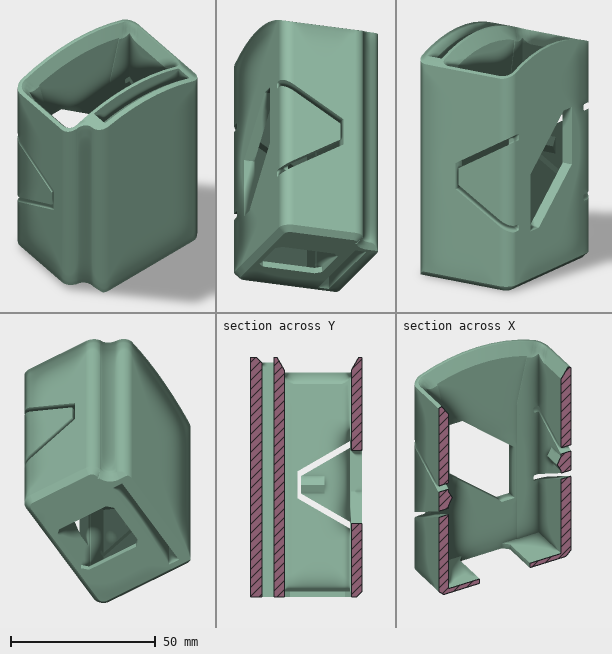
import cadquery as cq
import math

box_width = 30.5
total_width = 38.5
depth = 52.8
height = 82.89
wall = 4.0
corner_radius = 4.0
bottom_chamfer = 2.0
floor_thickness = 2.0
half_depth = depth / 2
box_mid_x = box_width / 2

dome_drop = 5.9
dome_radius = (half_depth**2 + dome_drop**2) / (2 * dome_drop)
dome_axis_z = height - dome_radius

cavity_right = box_width - wall
cavity_half_depth = half_depth - wall
rim_thickness = 1.2
funnel_angle = 30.0
funnel_corner_radius = 3.6
funnel_overlap = 1.5
funnel_slope = math.tan(math.radians(funnel_angle))
funnel_height = (wall - rim_thickness) / funnel_slope

relief_depth = 0.25
relief_half_width = 13.8
relief_flare_z = 57.0
relief_flare_slope = 0.22
relief_top_z = height - funnel_height + 1.0
relief_top_half_width = relief_half_width + (relief_top_z - relief_flare_z) * relief_flare_slope

loop_end_y = -19.4
slot_width = 4.0
slot_bevel = 2.0
slot_end_low_y = loop_end_y + wall
slot_end_high_y = cavity_half_depth

floor_hole_length = 20.0
floor_hole_chamfer = 2.0

window_center_z = 38.1
window_half_width = 13.0
window_half_height = 19.1
window_flat = 5.2
window_side = 20.7

tongue_center_z = 38.75
tongue_tip_x = 21.0
tongue_tip_half_height = 3.0
slit_tip_x = 22.1
slit_tip_half_height = 4.7
slit_angle = 30.0
slit_slope = math.tan(math.radians(slit_angle))
slit_depth = 6.0
slit_end_radius = 0.6

ridge_length = 8.15
ridge_height = 1.6

reach = 10.0


def block(x0, x1, y0, y1, z0, z1):
    return cq.Workplane("XY").box(x1 - x0, y1 - y0, z1 - z0, centered=False).translate((x0, y0, z0))


def rounded_box(x1, y0, y1):
    """Full-height block from x = 0 to x1 with rounded upright edges."""
    return block(0, x1, y0, y1, 0, height).edges("|Z").fillet(corner_radius)


def outer_body():
    """Box with the strap loop, chamfered at the bottom and domed on top."""
    blend_x = box_width + corner_radius
    blend_y = loop_end_y - corner_radius
    blend_mid = corner_radius * math.sqrt(0.5)
    blend = (
        cq.Workplane("XY")
        .moveTo(blend_x, loop_end_y)
        .threePointArc((blend_x - blend_mid, blend_y + blend_mid), (box_width, blend_y))
        .lineTo(box_mid_x, blend_y)
        .lineTo(box_mid_x, loop_end_y)
        .close()
        .extrude(height)
    )
    box = rounded_box(box_width, -half_depth, half_depth)
    long_loop = block(box_mid_x, total_width + reach, loop_end_y, half_depth, 0, height)
    body = box.union(blend).union(long_loop).clean()
    body = body.faces("<Z").edges("not >X").chamfer(bottom_chamfer)

    loop = rounded_box(total_width, loop_end_y, half_depth)
    outline = box.union(blend).union(loop)
    dome = (
        cq.Workplane("YZ")
        .center(0, dome_axis_z)
        .circle(dome_radius)
        .extrude(total_width)
    )
    below_dome = block(0, total_width, -half_depth, half_depth, 0, height - dome_drop - reach)
    return body.intersect(outline).intersect(dome.union(below_dome))


def dome_revolve(points):
    """Revolve (x, distance above the dome) points over the dome, about the dome axis."""
    return (
        cq.Workplane("XZ")
        .polyline([(x, height + rise) for x, rise in points])
        .close()
        .revolve(180, (0, dome_axis_z, 0), (1, dome_axis_z, 0))
        .rotate((0, 0, dome_axis_z), (1, 0, dome_axis_z), -90)
    )


def cavity():
    return block(wall, cavity_right, -cavity_half_depth, cavity_half_depth, floor_thickness, height)


def funnel():
    """Flared mouth: its X sides follow the dome and its Y sides are flat."""
    overlap_spread = funnel_overlap * funnel_slope
    along_x = dome_revolve([
        (wall + overlap_spread, -funnel_height - funnel_overlap),
        (rim_thickness - overlap_spread, funnel_overlap),
        (box_width - rim_thickness + overlap_spread, funnel_overlap),
        (cavity_right - overlap_spread, -funnel_height - funnel_overlap),
    ])
    rim_y = half_depth - rim_thickness
    rim_z = dome_axis_z + math.sqrt(dome_radius**2 - rim_y**2)
    top_z = height + funnel_overlap
    base_radius = dome_radius - funnel_height
    base_z = dome_axis_z + math.sqrt(base_radius**2 - cavity_half_depth**2)
    side_slope = (rim_y - cavity_half_depth) / (rim_z - base_z)
    top_y = rim_y + (top_z - rim_z) * side_slope
    along_y = (
        cq.Workplane("YZ")
        .polyline([
            (-cavity_half_depth, base_z),
            (-top_y, top_z),
            (top_y, top_z),
            (cavity_half_depth, base_z),
        ])
        .close()
        .extrude(box_width + 2 * reach)
        .translate((-reach, 0, 0))
    )
    mouth = along_x.intersect(along_y)
    for x in (0, box_width):
        for y in (-half_depth, half_depth):
            zone = cq.selectors.BoxSelector((x - wall, y - wall, base_z), (x + wall, y + wall, top_z))
            mouth = mouth.edges(zone).fillet(funnel_corner_radius)
    return mouth


def wall_relief():
    return (
        cq.Workplane("YZ")
        .polyline([
            (-relief_half_width, floor_thickness),
            (-relief_half_width, relief_flare_z),
            (-relief_top_half_width, relief_top_z),
            (relief_top_half_width, relief_top_z),
            (relief_half_width, relief_flare_z),
            (relief_half_width, floor_thickness),
        ])
        .close()
        .extrude(cavity_right - wall + 2 * relief_depth)
        .translate((wall - relief_depth, 0, 0))
    )


def strap_slot():
    slot_right = box_width + slot_width
    through = block(box_width, slot_right, slot_end_low_y, slot_end_high_y, 0, height)
    bevel = dome_revolve([
        (box_width, -slot_bevel),
        (box_width, slot_bevel),
        (slot_right + 2 * slot_bevel, slot_bevel),
        (slot_right, -slot_bevel),
    ])
    slot_range = block(0, total_width, slot_end_low_y, slot_end_high_y, 0, height)
    return through.union(bevel.intersect(slot_range))


def floor_hole():
    half_length = floor_hole_length / 2
    left = wall - relief_depth
    right = cavity_right + relief_depth
    hole = block(left, right, -half_length, half_length, 0, floor_thickness)
    return hole.edges("|Z").chamfer(floor_hole_chamfer)


def window():
    upper_half = [
        (-window_half_width, window_half_height - window_side),
        (-window_half_width, window_half_height),
        (-window_half_width + window_flat, window_half_height),
    ]
    lower_half = [(-y, -z) for y, z in upper_half]
    return (
        cq.Workplane("YZ")
        .center(0, window_center_z)
        .polyline(upper_half + lower_half)
        .close()
        .extrude(wall)
    )


def tongue_outline(tip_x, tip_half_height):
    """Trapezoid prism of the slit depth, narrowing from x = 0 to its tip."""
    base_half_height = tip_half_height + tip_x * slit_slope
    return (
        cq.Workplane("XZ", origin=(0, -half_depth, 0))
        .center(0, tongue_center_z)
        .polyline([
            (0, base_half_height),
            (tip_x, tip_half_height),
            (tip_x, -tip_half_height),
            (0, -base_half_height),
        ])
        .close()
        .extrude(-slit_depth)
    )


def tongue_slits():
    """A slit around each tongue, with its sloping inner edges rounded."""
    slit = tongue_outline(slit_tip_x, slit_tip_half_height)
    slit = slit.cut(tongue_outline(tongue_tip_x, tongue_tip_half_height))
    slit = slit.faces(">Y").edges("not |Z").fillet(slit_end_radius)
    return slit.union(slit.mirror("XZ"))


def snap_ridge(side):
    """Triangular ridge along the tongue tip on the wall at the given side."""
    wall_y = side * cavity_half_depth
    return (
        cq.Workplane("YZ")
        .center(wall_y, tongue_center_z)
        .polyline([
            (0, -tongue_tip_half_height),
            (-side * ridge_height, 0),
            (0, tongue_tip_half_height),
        ])
        .close()
        .extrude(ridge_length)
        .translate((tongue_tip_x - ridge_length, 0, 0))
    )


result = outer_body()
cutters = (cavity, funnel, wall_relief, strap_slot, floor_hole, window, tongue_slits)
for cutter in cutters:
    result = result.cut(cutter())
for side in (-1, 1):
    result = result.union(snap_ridge(side))